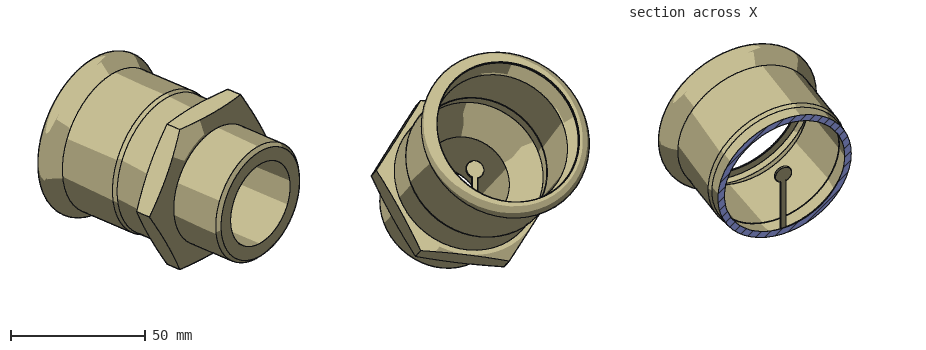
import cadquery as cq
import math

length = 83.0
bead_end_x = 5.6
body_start_x = 10.5
body_end_x = 35.1
neck_start_x = 36.85
hex_start_x = 50.9
hex_end_x = 61.0
groove_taper_end_x = 9.1
lip_chamfer_x = 0.4
lip_end_x = 0.8
groove_end_x = 3.7
socket_end_x = 34.6
bore_cone_start_x = 39.8
bore_cone_end_x = 50.9

bead_radius = 32.7
bead_section_radius = 3.4
body_radius = 28.7
neck_radius = 28.05
spigot_radius = 23.8
spigot_chamfer = 1.4

lip_mouth_radius = 27.9
lip_inner_radius = 27.6
groove_radius = 30.55
taper_end_radius = 26.8
socket_radius = 26.3
bore_radius = 16.9
socket_step = 0.5
recess_radius = 26.6

hex_across_corners = 69.3
hex_chamfer_slope = math.tan(math.radians(15))
hex_front_face_radius = 30.0
hex_back_face_radius = 24.8

disc_radius = 3.4
stem_width = 2.15
indicator_thickness = 0.8
wall_overlap = 0.8


def revolve_about_x(profile):
    return profile.close().revolve(360, (0, 0, 0), (1, 0, 0))


def make_body():
    bead_center_radius = bead_radius - bead_section_radius
    bead_end_rise = math.sqrt(bead_section_radius**2 - (bead_end_x - bead_section_radius) ** 2)
    bead_end = (bead_end_x, bead_center_radius + bead_end_rise)
    return revolve_about_x(
        cq.Workplane("XY")
        .moveTo(0, 0)
        .lineTo(0, bead_center_radius)
        .threePointArc((bead_section_radius, bead_radius), bead_end)
        .lineTo(body_start_x, body_radius)
        .lineTo(body_end_x, body_radius)
        .lineTo(neck_start_x, neck_radius)
        .lineTo(hex_start_x, neck_radius)
        .lineTo(hex_start_x, spigot_radius)
        .lineTo(length - spigot_chamfer, spigot_radius)
        .lineTo(length, spigot_radius - spigot_chamfer)
        .lineTo(length, 0)
    )


def make_hexagon():
    corner_radius = hex_across_corners / 2
    front_depth = (corner_radius - hex_front_face_radius) * hex_chamfer_slope
    back_depth = (corner_radius - hex_back_face_radius) * hex_chamfer_slope
    prism = (
        cq.Workplane("YZ", origin=(hex_start_x, 0, 0))
        .polygon(6, hex_across_corners)
        .extrude(hex_end_x - hex_start_x)
    )
    envelope = revolve_about_x(
        cq.Workplane("XY")
        .moveTo(hex_start_x, 0)
        .lineTo(hex_start_x, hex_front_face_radius)
        .lineTo(hex_start_x + front_depth, corner_radius)
        .lineTo(hex_end_x - back_depth, corner_radius)
        .lineTo(hex_end_x, hex_back_face_radius)
        .lineTo(hex_end_x, 0)
    )
    return prism.intersect(envelope)


def make_bore():
    return revolve_about_x(
        cq.Workplane("XY")
        .moveTo(0, 0)
        .lineTo(0, lip_mouth_radius)
        .lineTo(lip_chamfer_x, lip_inner_radius)
        .lineTo(lip_end_x, lip_inner_radius)
        .lineTo(lip_end_x, groove_radius)
        .lineTo(groove_end_x, groove_radius)
        .lineTo(groove_taper_end_x, taper_end_radius)
        .lineTo(groove_taper_end_x + socket_step, socket_radius)
        .lineTo(socket_end_x, socket_radius)
        .lineTo(socket_end_x, recess_radius)
        .lineTo(bore_cone_start_x, recess_radius)
        .lineTo(bore_cone_end_x, bore_radius)
        .lineTo(length, bore_radius)
        .lineTo(length, 0)
    )


def make_indicator():
    stem_length = recess_radius + wall_overlap
    plane = cq.Workplane("YZ", origin=(bore_cone_start_x, 0, 0))
    disc = plane.circle(disc_radius).extrude(indicator_thickness)
    stem = (
        plane.center(0, -stem_length / 2)
        .rect(stem_width, stem_length)
        .extrude(indicator_thickness)
    )
    return disc.union(stem)


outside = make_body().union(make_hexagon())
result = outside.cut(make_bore()).union(make_indicator())